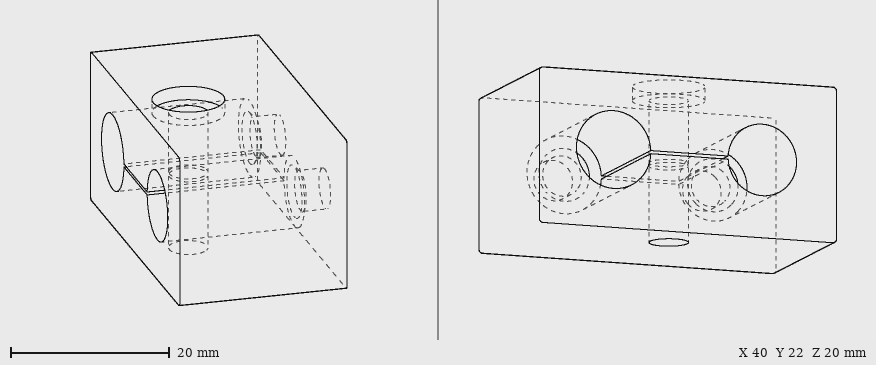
import cadquery as cq

length = 40.0
depth = 22.0
height = 20.0
edge_radius = 0.5

bore_offset = length / 4
left_bore_diameter = 10.0
right_bore_diameter = 9.2
bore_depth = 18.0
through_diameter = 5.2
countersink_diameter = 6.8
countersink_depth = (countersink_diameter - through_diameter) / 2

slit_width = 0.4

screw_y = 7.0
screw_diameter = 5.0
screw_head_diameter = 9.2
screw_head_depth = 1.8


def make_block():
    block = cq.Workplane("XY").box(length, depth, height, centered=(True, False, True))
    return block.edges("|Y").fillet(edge_radius)


def make_bore(x, diameter):
    """Blind bore, then a cone narrowing to a hole through the back face."""
    profile = (
        cq.Workplane("XY")
        .moveTo(0, 0)
        .lineTo(diameter / 2, 0)
        .lineTo(diameter / 2, bore_depth)
        .lineTo(countersink_diameter / 2, bore_depth)
        .lineTo(through_diameter / 2, bore_depth + countersink_depth)
        .lineTo(through_diameter / 2, depth)
        .lineTo(0, depth)
        .close()
    )
    return profile.revolve(360, (0, 0, 0), (0, 1, 0)).translate((x, 0, 0))


def make_slit():
    """Thin slit between the bore axes, as deep as the bores."""
    return cq.Workplane("XY").box(
        2 * bore_offset, bore_depth, slit_width, centered=(True, False, True)
    )


def cut_screw_hole(body):
    return (
        body.faces(">Z")
        .workplane(origin=(0, screw_y, 0))
        .cboreHole(screw_diameter, screw_head_diameter, screw_head_depth)
    )


body = make_block()
body = body.cut(make_bore(-bore_offset, left_bore_diameter))
body = body.cut(make_bore(bore_offset, right_bore_diameter))
body = body.cut(make_slit())
result = cut_screw_hole(body)